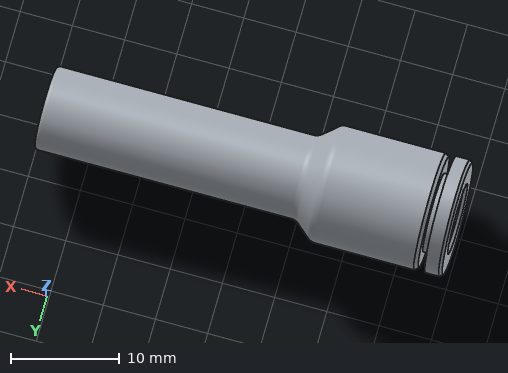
import cadquery as cq
import math

total_length = 39.45

flange_width = 11.0
flange_height = 13.0
flange_thickness = 1.6
flange_chamfer_length = 0.28
flange_chamfer_inset = 0.25

neck_diameter = 7.5

body_diameter = 11.2
body_front = 2.3
body_back = 12.2
body_chamfer_length = 0.35
body_chamfer_inset = 0.28

shoulder_angle = math.radians(40)
shoulder_radius = 1.0

stem_diameter = 8.0
stem_edge_radius = 0.4

bore_diameter = 6.08
bore_depth = body_back
bore_chamfer = 0.3


def make_body_and_stem():
    """Neck, body, shoulder and stem as one profile turned about the X axis."""
    neck_r = neck_diameter / 2
    body_r = body_diameter / 2
    stem_r = stem_diameter / 2

    arc_run = shoulder_radius * math.sin(shoulder_angle)
    arc_drop = shoulder_radius * (1 - math.cos(shoulder_angle))
    half_run = shoulder_radius * math.sin(shoulder_angle / 2)
    half_drop = shoulder_radius * (1 - math.cos(shoulder_angle / 2))
    cone_drop = body_r - stem_r - 2 * arc_drop
    cone_front = body_back + arc_run
    cone_back = cone_front + cone_drop / math.tan(shoulder_angle)
    stem_front = cone_back + arc_run

    edge_inset = stem_edge_radius * (1 - math.sqrt(0.5))
    profile = (
        cq.Workplane("XY")
        .moveTo(flange_thickness, 0)
        .lineTo(flange_thickness, neck_r)
        .lineTo(body_front, neck_r)
        .lineTo(body_front, body_r - body_chamfer_inset)
        .lineTo(body_front + body_chamfer_length, body_r)
        .lineTo(body_back, body_r)
        .threePointArc((body_back + half_run, body_r - half_drop), (cone_front, body_r - arc_drop))
        .lineTo(cone_back, stem_r + arc_drop)
        .threePointArc((stem_front - half_run, stem_r + half_drop), (stem_front, stem_r))
        .lineTo(total_length - stem_edge_radius, stem_r)
        .threePointArc(
            (total_length - edge_inset, stem_r - edge_inset),
            (total_length, stem_r - stem_edge_radius),
        )
        .lineTo(total_length, 0)
        .close()
    )
    return profile.revolve(360, (0, 0, 0), (1, 0, 0))


def make_flange():
    """Elliptical flange, its front rim chamfered."""
    flange = (
        cq.Workplane("YZ")
        .ellipse(flange_width / 2, flange_height / 2)
        .extrude(flange_thickness)
    )
    return flange.faces("<X").chamfer(flange_chamfer_length, flange_chamfer_inset)


def make_bore():
    """Blind bore with a chamfered mouth."""
    bore_r = bore_diameter / 2
    profile = (
        cq.Workplane("XY")
        .lineTo(0, bore_r + bore_chamfer)
        .lineTo(bore_chamfer, bore_r)
        .lineTo(bore_depth, bore_r)
        .lineTo(bore_depth, 0)
        .close()
    )
    return profile.revolve(360, (0, 0, 0), (1, 0, 0))


result = make_body_and_stem().union(make_flange()).cut(make_bore())